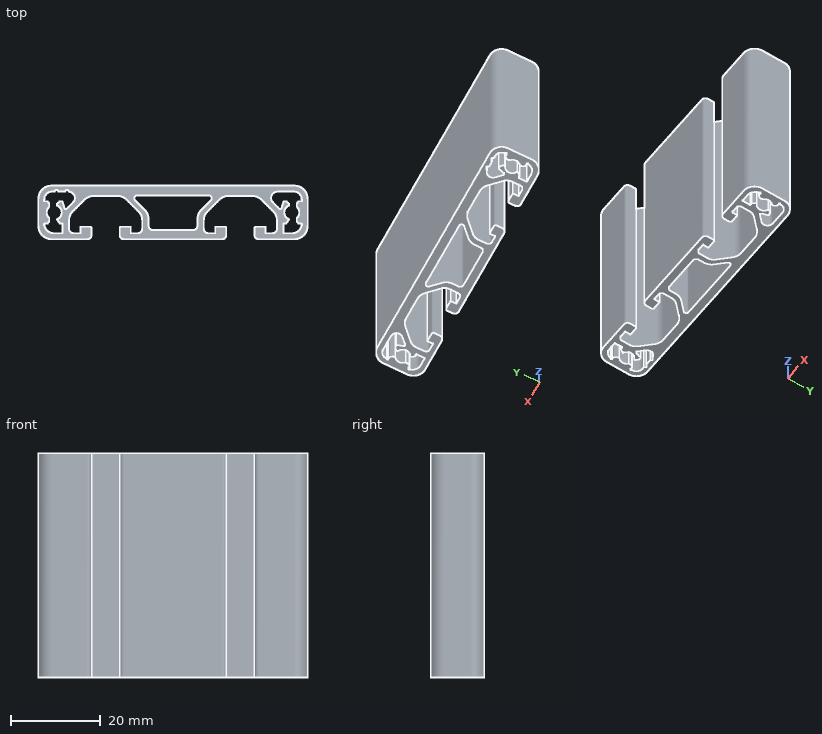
import cadquery as cq
import math


width = 60.0
depth = 12.0
length = 50.0
outer_radius = 3.0
wall = 1.4
right = width / 2
back = depth / 2
inner_back = back - wall

slot_center_x = 15.0
slot_mouth_half = 3.1
slot_lip_half = 5.6
slot_half = 8.1
slot_ceiling_y = 3.65
slot_lip_top_y = -3.15
slot_taper_half = 7.5
slot_ceiling_radius = 3.0
slot_side_radius = 2.5
slot_floor_radius = 0.9
lip_inner_radius = 0.45
lip_outer_radius = 1.0

hollow_half = 5.4
hollow_taper_half = 5.7
hollow_ceiling_y = 3.75
hollow_floor_y = -3.9
hollow_ceiling_radius = 0.6
hollow_side_radius = 3.0
hollow_floor_radius = 0.9

channel_inner_x = 24.6
channel_outer_x = right - wall
channel_corner_radius = outer_radius - wall
channel_front_radius = 2.0
channel_back_radius = 1.4
bore_x = 26.45
bore_radius = 1.65
lug_half_height = 2.5
lug_tip_bevel = 0.6
outer_lug_x = 27.5
outer_lug_bevel_width = 0.4
inner_lug_x = 25.85
inner_lug_bevel_width = 0.65
lug_tip_radius = 0.25
undercut_radius = 0.2
undercut_depth = 0.15
pocket_bottom_y = 0.5
pocket_radius = 0.3

groove_x_positions = (-25.95, -23.57)
groove_radius = 0.4


def rounded_outline(corners):
    """Closed wire through (x, y, radius) corners, each rounded by a tangent arc."""
    starts = []
    middles = []
    ends = []
    for i, (x, y, radius) in enumerate(corners):
        here = cq.Vector(x, y)
        before = corners[i - 1]
        after = corners[(i + 1) % len(corners)]
        to_before = (cq.Vector(before[0], before[1]) - here).normalized()
        to_after = (cq.Vector(after[0], after[1]) - here).normalized()
        half_angle = to_before.getAngle(to_after) / 2
        setback = radius / math.tan(half_angle)
        bisector = (to_before + to_after).normalized()
        starts.append(here + to_before * setback)
        middles.append(here + bisector * (radius / math.sin(half_angle) - radius))
        ends.append(here + to_after * setback)

    path = cq.Workplane("XY").moveTo(ends[-1].x, ends[-1].y)
    for (_, _, radius), start, middle, end in zip(corners, starts, middles, ends):
        path = path.lineTo(start.x, start.y)
        if radius > 0:
            path = path.threePointArc((middle.x, middle.y), (end.x, end.y))
    return path.close()


def prism(corners):
    """Outline extruded over the full profile length."""
    return rounded_outline(corners).extrude(length)


def mirrored(half):
    """Full outline of a shape symmetric about X = 0, from its +X corners."""
    return half + [(-x, y, radius) for x, y, radius in reversed(half)]


def t_slot():
    half = [
        (slot_mouth_half, -back, 0),
        (slot_mouth_half, slot_lip_top_y, lip_inner_radius),
        (slot_lip_half, slot_lip_top_y, 0),
        (slot_lip_half, -inner_back, 0),
        (slot_half, -inner_back, slot_floor_radius),
        (slot_half, slot_taper_half - slot_half, slot_side_radius),
        (slot_taper_half - slot_ceiling_y, slot_ceiling_y, slot_ceiling_radius),
    ]
    return prism(mirrored(half))


def central_hollow():
    half = [
        (hollow_half, hollow_floor_y, hollow_floor_radius),
        (hollow_half, hollow_half - hollow_taper_half, hollow_side_radius),
        (hollow_taper_half + hollow_ceiling_y, hollow_ceiling_y, hollow_ceiling_radius),
    ]
    return prism(mirrored(half))


def end_channel():
    taper_x = slot_center_x + slot_taper_half + wall * math.sqrt(2)
    lug_bevel_y = lug_half_height - lug_tip_bevel
    outer_bevel_x = outer_lug_x + outer_lug_bevel_width
    inner_bevel_x = inner_lug_x - inner_lug_bevel_width
    bore_edge_y = math.sqrt(bore_radius**2 - (bore_x - inner_lug_x) ** 2)
    outline = [
        (taper_x - inner_back, inner_back, channel_back_radius),
        (channel_outer_x, inner_back, channel_corner_radius),
        (channel_outer_x, lug_half_height, 0),
        (outer_bevel_x, lug_half_height, lug_tip_radius),
        (outer_lug_x, lug_bevel_y, lug_tip_radius),
        (outer_lug_x, -lug_bevel_y, lug_tip_radius),
        (outer_bevel_x, -lug_half_height, lug_tip_radius),
        (channel_outer_x, -lug_half_height, 0),
        (channel_outer_x, -inner_back, channel_front_radius),
        (channel_inner_x, -inner_back, 0),
        (channel_inner_x, -lug_half_height, 0),
        (inner_bevel_x, -lug_half_height, 0),
        (inner_lug_x, -bore_edge_y, 0),
        (inner_lug_x, lug_bevel_y, lug_tip_radius),
        (inner_bevel_x, lug_half_height, lug_tip_radius),
        (channel_inner_x, lug_half_height, 0),
        (taper_x - pocket_bottom_y, pocket_bottom_y, pocket_radius),
    ]
    channel = prism(outline)
    bore = cq.Workplane("XY").center(bore_x, 0).circle(bore_radius).extrude(length)
    undercut_x = channel_outer_x + undercut_depth - undercut_radius
    undercut_y = lug_half_height + undercut_radius
    undercuts = (
        cq.Workplane("XY")
        .pushPoints([(undercut_x, undercut_y), (undercut_x, -undercut_y)])
        .circle(undercut_radius)
        .extrude(length)
    )
    return channel.union(bore).union(undercuts)


def marking_grooves():
    points = [(x, inner_back) for x in groove_x_positions]
    return cq.Workplane("XY").pushPoints(points).circle(groove_radius).extrude(length)


body = cq.Workplane("XY").rect(width, depth).extrude(length).edges("|Z").fillet(outer_radius)
body = body.cut(central_hollow())
for slot_x in (-slot_center_x, slot_center_x):
    body = body.cut(t_slot().translate((slot_x, 0, 0)))

mouth_edge_xs = [
    side * (slot_center_x + offset)
    for side in (-1, 1)
    for offset in (-slot_mouth_half, slot_mouth_half)
]
for edge_x in mouth_edge_xs:
    mouth_edge = cq.selectors.NearestToPointSelector((edge_x, -back, length / 2))
    body = body.edges(mouth_edge).fillet(lip_outer_radius)

channel = end_channel()
body = body.cut(channel).cut(channel.mirror("YZ"))
body = body.cut(marking_grooves())

result = body